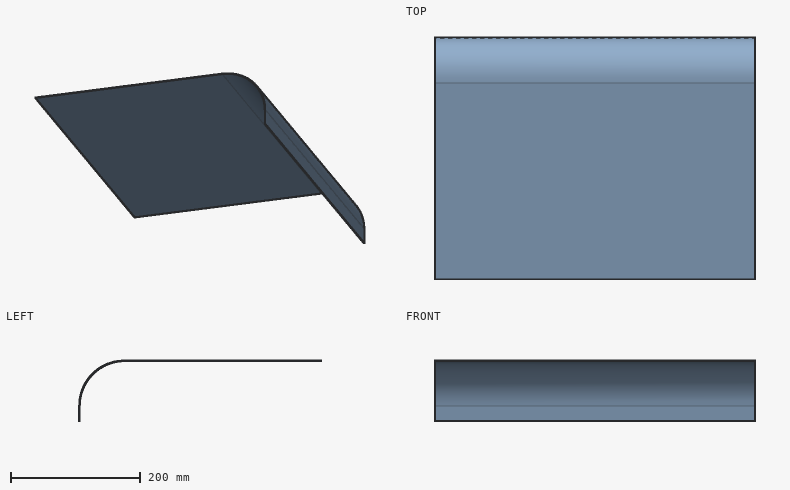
import cadquery as cq

length = 493.5
depth = 373.0
height = 94.0
thickness = 1.5
outer_radius = 70.0

inner_radius = outer_radius - thickness
back = depth / 2
front = -depth / 2
top = height / 2
bottom = -height / 2
bend_y = back - outer_radius
bend_z = top - outer_radius


def quarter_point(radius):
    """Point halfway round the bend at the given radius."""
    offset = radius * 0.5**0.5
    return (bend_y + offset, bend_z + offset)


section = (
    cq.Workplane("YZ")
    .workplane(offset=-length / 2)
    .moveTo(front, top)
    .lineTo(bend_y, top)
    .threePointArc(quarter_point(outer_radius), (back, bend_z))
    .lineTo(back, bottom)
    .lineTo(back - thickness, bottom)
    .lineTo(back - thickness, bend_z)
    .threePointArc(quarter_point(inner_radius), (bend_y, top - thickness))
    .lineTo(front, top - thickness)
    .close()
)

result = section.extrude(length)